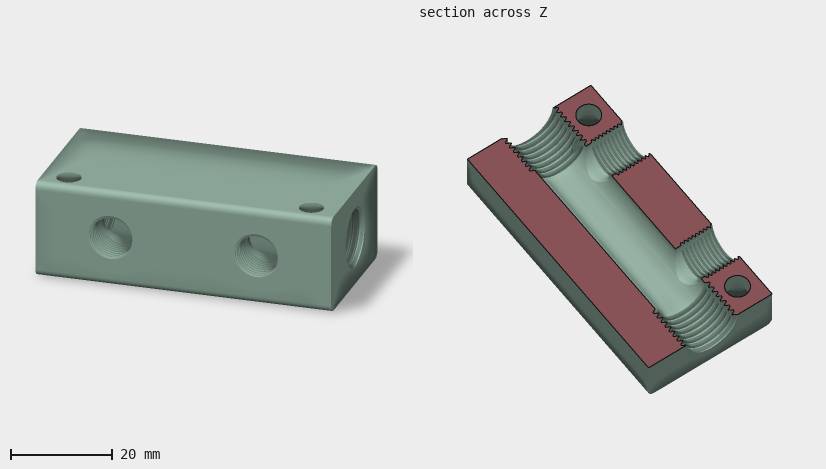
import cadquery as cq
import math

LENGTH = 61.0
WIDTH = 30.0
HEIGHT = 20.0
EDGE_RADIUS = 1.5

MOUNT_DIAMETER = 5.0
MOUNT_SPACING = 50.0
MOUNT_EDGE_DISTANCE = 4.5

MAIN_MINOR_DIAMETER = 11.445
MAIN_MAJOR_DIAMETER = 13.157
MAIN_PITCH = 1.337
MAIN_THREAD_LENGTH = 10.5
MAIN_START_ANGLE = 270.0

PORT_SPACING = 30.0
PORT_MINOR_DIAMETER = 8.566
PORT_MAJOR_DIAMETER = 9.728
PORT_PITCH = 0.907
PORT_THREAD_LENGTH = 8.0
PORT_START_ANGLE = 270.0

FLANK_HALF_ANGLE = 27.5
ROOT_FLAT_RATIO = 1 / 6
BORE_OVERLAP = 0.12


def make_block():
    """Rectangular bar with its four long edges rounded."""
    return cq.Workplane("XY").box(LENGTH, WIDTH, HEIGHT).edges("|X").fillet(EDGE_RADIUS)


def thread_groove(minor_diameter, major_diameter, pitch, length, start_angle):
    """Right-hand groove around +Z, starting one pitch before z = 0 and ending at z = length."""
    inner_radius = minor_diameter / 2 - BORE_OVERLAP
    outer_radius = major_diameter / 2
    root_half = pitch * ROOT_FLAT_RATIO / 2
    mouth_half = root_half + (outer_radius - inner_radius) * math.tan(math.radians(FLANK_HALF_ANGLE))
    helix = cq.Wire.makeHelix(pitch, length + pitch, inner_radius)
    profile = cq.Workplane("XZ").polyline([
        (inner_radius, -mouth_half),
        (outer_radius, -root_half),
        (outer_radius, root_half),
        (inner_radius, mouth_half),
    ]).close()
    groove = profile.sweep(cq.Workplane(obj=helix), isFrenet=True)
    return groove.translate((0, 0, -pitch)).rotate((0, 0, 0), (0, 0, 1), start_angle)


def cut_mounting_holes(body):
    """Two plain through holes along Z."""
    hole_y = -WIDTH / 2 + MOUNT_EDGE_DISTANCE
    holes = (
        cq.Workplane("XY", origin=(0, hole_y, 0))
        .rarray(MOUNT_SPACING, 1, 2, 1)
        .circle(MOUNT_DIAMETER / 2)
        .extrude(HEIGHT / 2, both=True)
    )
    return body.cut(holes)


def cut_main_bore(body):
    """Through bore along X, threaded from both end faces."""
    bore = cq.Workplane("XY").circle(MAIN_MINOR_DIAMETER / 2).extrude(LENGTH / 2, both=True)
    body = body.cut(bore.rotate((0, 0, 0), (0, 1, 0), 90))
    groove = thread_groove(
        MAIN_MINOR_DIAMETER, MAIN_MAJOR_DIAMETER, MAIN_PITCH, MAIN_THREAD_LENGTH, MAIN_START_ANGLE
    )
    near_groove = groove.rotate((0, 0, 0), (0, 1, 0), 90).translate((-LENGTH / 2, 0, 0))
    far_groove = near_groove.rotate((0, 0, 0), (0, 0, 1), 180)
    return body.cut(near_groove).cut(far_groove)


def cut_side_ports(body):
    """Two threaded ports from the -Y face to the axis of the main bore."""
    groove = thread_groove(
        PORT_MINOR_DIAMETER, PORT_MAJOR_DIAMETER, PORT_PITCH, PORT_THREAD_LENGTH, PORT_START_ANGLE
    ).rotate((0, 0, 0), (1, 0, 0), -90)
    bore = cq.Workplane("XZ").circle(PORT_MINOR_DIAMETER / 2).extrude(WIDTH / 2)
    for port_x in (-PORT_SPACING / 2, PORT_SPACING / 2):
        body = body.cut(bore.translate((port_x, 0, 0)))
        body = body.cut(groove.translate((port_x, -WIDTH / 2, 0)))
    return body


result = cut_side_ports(cut_main_bore(cut_mounting_holes(make_block())))